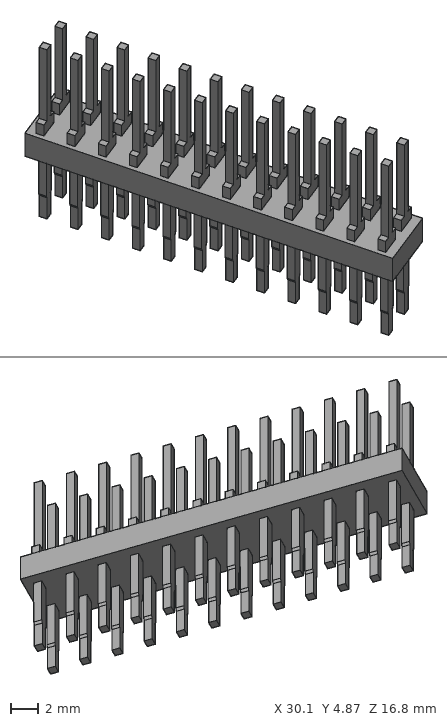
import cadquery as cq

PINS_PER_ROW = 12
ROWS = 2
ROW_SPAN = 27.95
PITCH = ROW_SPAN / (PINS_PER_ROW - 1)

BODY_LENGTH = 30.07
BODY_WIDTH = 4.87
BODY_HEIGHT = 2.3

PIN_SIZE = 0.63
SHOULDER_WIDTH = 1.62
TAIL_WIDTH = 0.85

OVERALL_HEIGHT = 16.75
SHOULDER_HEIGHT = 1.08
TAIL_LENGTH = 6.35
TIP_LENGTH = 2.1
TAPER_LENGTH = 0.25

TAIL_END = -TAIL_LENGTH
TAPER_BOTTOM = TAIL_END + TIP_LENGTH
TAPER_TOP = TAPER_BOTTOM + TAPER_LENGTH
SHOULDER_TOP = BODY_HEIGHT + SHOULDER_HEIGHT
PIN_TOP = TAIL_END + OVERALL_HEIGHT


def make_body():
    return cq.Workplane("XY").box(BODY_LENGTH, BODY_WIDTH, BODY_HEIGHT, centered=(True, True, False))


def make_pin():
    """One pin on the Z axis: a stepped Y-Z outline extruded to a constant thickness in X."""
    half_pin = PIN_SIZE / 2
    half_tail = TAIL_WIDTH / 2
    half_shoulder = SHOULDER_WIDTH / 2
    right_side = [
        (half_pin, TAIL_END),
        (half_pin, TAPER_BOTTOM),
        (half_tail, TAPER_TOP),
        (half_tail, 0),
        (half_shoulder, 0),
        (half_shoulder, SHOULDER_TOP),
        (half_pin, SHOULDER_TOP),
        (half_pin, PIN_TOP),
    ]
    left_side = [(-y, z) for y, z in reversed(right_side)]
    return cq.Workplane("YZ").polyline(right_side + left_side).close().extrude(half_pin, both=True)


def make_pin_grid():
    """Both rows of pins, centred on the body."""
    pin = make_pin().val()
    grid = cq.Workplane("XY").rarray(PITCH, PITCH, PINS_PER_ROW, ROWS)
    return grid.eachpoint(lambda place: pin.moved(place))


result = make_body().union(make_pin_grid())